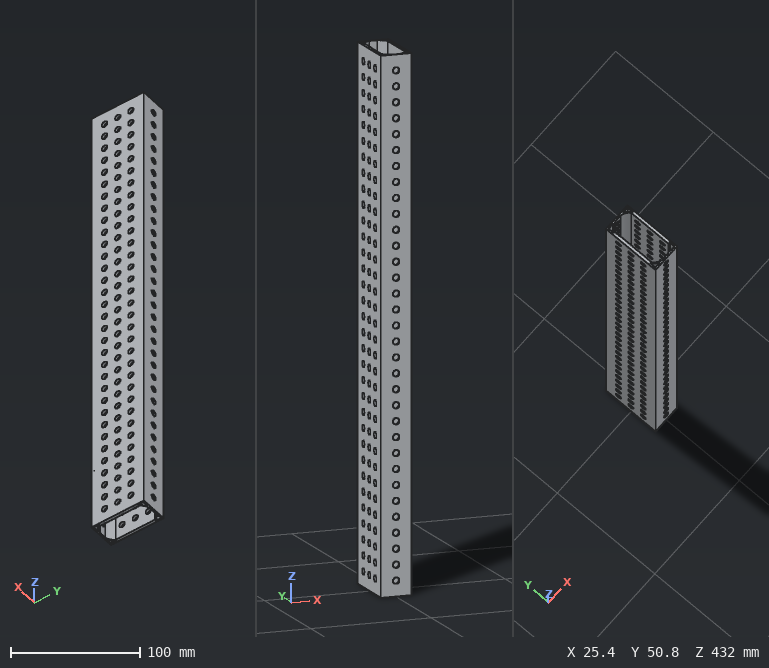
import cadquery as cq
length = 432.0
grid_cells_along_length = 34
pitch = length / grid_cells_along_length
width = 2 * pitch
depth = 4 * pitch

hole_diameter = 5.0
hole_rows = grid_cells_along_length - 1
end_wall_columns = 1
side_wall_columns = 3

side_wall = 2.8
end_wall = 1.5
corner_wall = 1.5
bore_radius = 11.5
corner_web = 1.1


def rounded_core(radius):
    """Bar with two round ends centred one pitch either side of the tube axis."""
    ends = (
        cq.Workplane("XY")
        .pushPoints([(0, pitch), (0, -pitch)])
        .circle(radius)
        .extrude(length)
    )
    middle = cq.Workplane("XY").rect(width, 2 * pitch).extrude(length)
    return middle.union(ends)


def rectangular_bar(x_wall, y_wall):
    """Full-length bar that leaves the given walls inside the tube outline."""
    return cq.Workplane("XY").rect(width - 2 * x_wall, depth - 2 * y_wall).extrude(length)


def main_bore():
    """Rectangular bore whose corners are cut off by arcs."""
    return rectangular_bar(side_wall, end_wall).intersect(rounded_core(bore_radius))


def corner_channels():
    """Four small channels between the tube corners and the curved webs."""
    return rectangular_bar(corner_wall, corner_wall).cut(rounded_core(bore_radius + corner_web))


def cross_holes(plane, columns, through):
    """Grid of holes that pass through both opposite walls."""
    return (
        cq.Workplane(plane, origin=(0, 0, length / 2))
        .rarray(pitch, pitch, columns, hole_rows)
        .circle(hole_diameter / 2)
        .extrude(through / 2, both=True)
    )


result = (
    rectangular_bar(0, 0)
    .cut(main_bore())
    .cut(corner_channels())
    .cut(cross_holes("XZ", end_wall_columns, depth))
    .cut(cross_holes("YZ", side_wall_columns, width))
)